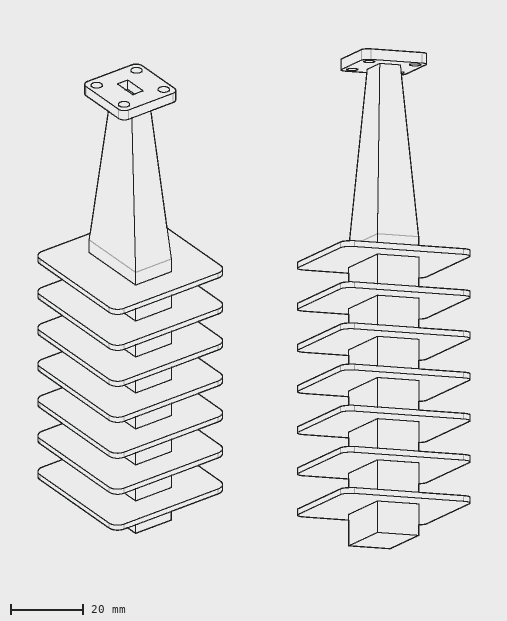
import cadquery as cq

total_height = 135.0

body_x = 21.6
body_y = 12.2
body_height = 83.3

flange_size = 19.0
flange_thickness = 3.0
flange_corner_radius = 2.0
bolt_spacing_x = 12.7
bolt_spacing_y = 13.5
bolt_hole_diameter = 3.1

port_x = 7.2
port_y = 3.5
port_depth = flange_thickness

neck_top_x = 9.6
neck_top_y = 6.1
flange_bottom = total_height - flange_thickness
neck_height = flange_bottom - body_height

fin_count = 7
fin_size = 38.0
fin_thickness = 1.6
fin_corner_radius = 3.0
fin_pitch = 11.5
first_fin_bottom = 8.8


def rounded_plate(size, thickness, corner_radius, bottom):
    """Square plate centred on the Z axis with rounded vertical corners."""
    plate = cq.Workplane("XY").workplane(offset=bottom).rect(size, size).extrude(thickness)
    return plate.edges("|Z").fillet(corner_radius)


def tapered_neck():
    """Pyramidal transition from the body section to the smaller section under the flange."""
    return (
        cq.Workplane("XY")
        .workplane(offset=body_height)
        .rect(body_x, body_y)
        .workplane(offset=neck_height)
        .rect(neck_top_x, neck_top_y)
        .loft(ruled=True)
    )


def drilled_flange():
    """Flange plate with four through bolt holes."""
    plate = rounded_plate(flange_size, flange_thickness, flange_corner_radius, flange_bottom)
    return (
        plate.faces(">Z")
        .workplane()
        .rect(bolt_spacing_x, bolt_spacing_y, forConstruction=True)
        .vertices()
        .hole(bolt_hole_diameter)
    )


body = cq.Workplane("XY").rect(body_x, body_y).extrude(body_height)
port = cq.Workplane("XY").workplane(offset=total_height).rect(port_x, port_y).extrude(-port_depth)

result = body.union(tapered_neck()).union(drilled_flange())
for index in range(fin_count):
    fin_bottom = first_fin_bottom + index * fin_pitch
    result = result.union(rounded_plate(fin_size, fin_thickness, fin_corner_radius, fin_bottom))
result = result.cut(port)